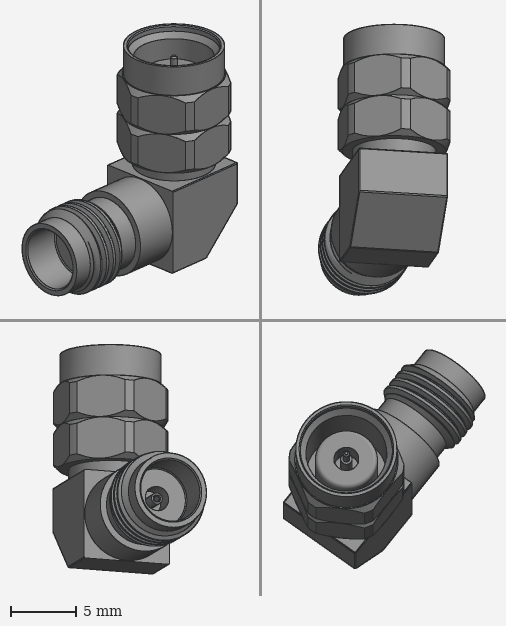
import cadquery as cq
import math


block_half = 3.49
block_front = 3.76
block_edge_break = 0.07

male_top = 13.5
neck_radius = 3.22
nut_bottom = 4.51
nut_hex_height = 3.29
nut_across_flats = 8.0
nut_corner_radius = 4.42
nut_cone_height = 0.44
sleeve_radius = 3.9
nut_mouth_radius = 3.55
nut_mouth_chamfer = 0.1
nut_mouth_depth = 0.48
nut_bore_radius = 3.1

plug_radius = 2.4
plug_top = 11.33
plug_edge_fillet = 0.31
pin_radius = 0.25
pin_tip_radius = 0.13
pin_length = 1.28

female_length = 13.85
collar_radius = 3.43
collar_end = 7.3
barrel_radius = 2.92
thread_start = 8.86
thread_end = 12.35
thread_radius = 3.49
thread_root_radius = 3.09
thread_pitch = 0.75
thread_root_width = 0.04
thread_flank_angle = 30.0
groove_start = 8.39
groove_overshoot = 0.05
socket_radius = 2.41
socket_depth = 3.18
socket_mouth_chamfer = 0.11
socket_floor_chamfer = 0.1
contact_hole_radius = 0.22
contact_hole_chamfer = 0.07
contact_hole_depth = 1.28

line_outer_radius = 0.95
line_inner_radius = 0.44
line_gap_depth = 1.83


def cylinder(radius, bottom, top):
    return cq.Workplane("XY").workplane(offset=bottom).circle(radius).extrude(top - bottom)


def turned(profile):
    """Revolve (radius, height) points around the Z axis."""
    return cq.Workplane("XZ").polyline(profile).close().revolve(360, (0, 0, 0), (0, 1, 0))


def line_gap(face_height):
    """Ring-shaped gap around the inner conductor, sunk below a connector face."""
    bottom = face_height - line_gap_depth
    ring = cylinder(line_outer_radius, bottom, face_height)
    return ring.cut(cylinder(line_inner_radius, bottom, face_height))


def elbow_block():
    outline = [
        (-block_front, -block_half),
        (0, -block_half),
        (block_half, 0),
        (block_half, block_half),
        (-block_front, block_half),
    ]
    block = cq.Workplane("YZ").polyline(outline).close().extrude(block_half, both=True)
    front_edges = block.faces("<Y").edges().vals()
    broken_edges = [
        edge for edge in block.edges().vals()
        if not any(edge.isSame(front_edge) for front_edge in front_edges)
    ]
    return block.newObject(broken_edges).chamfer(block_edge_break)


def nut_hex(bottom):
    """Hexagon with flats on +X and -X, its corners rounded and coned at both ends."""
    top = bottom + nut_hex_height
    across_corners = nut_across_flats / math.cos(math.radians(30))
    hexagon = (
        cq.Workplane("XY").workplane(offset=bottom)
        .transformed(rotate=(0, 0, 30))
        .polygon(6, across_corners).extrude(nut_hex_height)
    )
    end_radius = nut_corner_radius - nut_cone_height
    envelope = turned([
        (0, bottom),
        (end_radius, bottom),
        (nut_corner_radius, bottom + nut_cone_height),
        (nut_corner_radius, top - nut_cone_height),
        (end_radius, top),
        (0, top),
    ])
    return hexagon.intersect(envelope)


def male_connector():
    upper_hex_bottom = nut_bottom + nut_hex_height
    body = cylinder(neck_radius, 0, nut_bottom)
    body = body.union(nut_hex(nut_bottom)).union(nut_hex(upper_hex_bottom))
    body = body.union(cylinder(sleeve_radius, upper_hex_bottom, male_top))

    mouth_bottom = male_top - nut_mouth_depth
    cone_bottom = mouth_bottom - (nut_mouth_radius - nut_bore_radius)
    bore = turned([
        (0, male_top),
        (nut_mouth_radius + nut_mouth_chamfer, male_top),
        (nut_mouth_radius, male_top - nut_mouth_chamfer),
        (nut_mouth_radius, mouth_bottom),
        (nut_bore_radius, cone_bottom),
        (nut_bore_radius, upper_hex_bottom),
        (0, upper_hex_bottom),
    ])
    plug = cylinder(plug_radius, upper_hex_bottom, plug_top)
    plug = plug.faces(">Z").edges().fillet(plug_edge_fillet).cut(line_gap(plug_top))
    pin = cylinder(pin_radius, plug_top, plug_top + pin_length)
    pin = pin.faces(">Z").edges().chamfer(pin_radius - pin_tip_radius)
    return body.cut(bore).union(plug).union(pin)


def thread_groove():
    """Right-hand helical cutter, running out past both ends of the thread."""
    flank_slope = math.tan(math.radians(thread_flank_angle))
    cut_radius = thread_radius + groove_overshoot
    root_half = thread_root_width / 2
    mouth_half = root_half + (cut_radius - thread_root_radius) * flank_slope
    turns = math.ceil((thread_end - groove_start) / thread_pitch)
    helix = cq.Wire.makeHelix(thread_pitch, turns * thread_pitch, thread_root_radius)
    groove = (
        cq.Workplane("XZ")
        .polyline([
            (thread_root_radius, -root_half),
            (cut_radius, -mouth_half),
            (cut_radius, mouth_half),
            (thread_root_radius, root_half),
        ])
        .close()
        .sweep(cq.Workplane(obj=helix), isFrenet=True)
    )
    return groove.translate((0, 0, groove_start))


def thread():
    """Threaded length, its crests cut back by a 45 degree cone at each end."""
    cone_height = thread_radius - barrel_radius
    envelope = turned([
        (0, thread_start),
        (barrel_radius, thread_start),
        (thread_radius, thread_start + cone_height),
        (thread_radius, thread_end - cone_height),
        (barrel_radius, thread_end),
        (0, thread_end),
    ])
    blank = cylinder(thread_radius, thread_start, thread_end)
    return blank.cut(thread_groove()).intersect(envelope)


def female_connector():
    """Female connector built along +Z, then laid down to point along -Y."""
    body = cylinder(collar_radius, block_front, collar_end)
    body = body.union(cylinder(barrel_radius, collar_end, female_length)).union(thread())

    socket_floor = female_length - socket_depth
    socket = turned([
        (0, female_length),
        (socket_radius + socket_mouth_chamfer, female_length),
        (socket_radius, female_length - socket_mouth_chamfer),
        (socket_radius, socket_floor + socket_floor_chamfer),
        (socket_radius - socket_floor_chamfer, socket_floor),
        (0, socket_floor),
    ])
    contact_hole_bottom = socket_floor - contact_hole_depth
    contact_hole = turned([
        (0, socket_floor),
        (contact_hole_radius + contact_hole_chamfer, socket_floor),
        (contact_hole_radius, socket_floor - contact_hole_chamfer),
        (contact_hole_radius, contact_hole_bottom),
        (0, contact_hole_bottom - contact_hole_radius),
    ])
    body = body.cut(socket).cut(line_gap(socket_floor)).cut(contact_hole)
    return body.rotate((0, 0, 0), (1, 0, 0), 90)


result = elbow_block().union(male_connector()).union(female_connector())